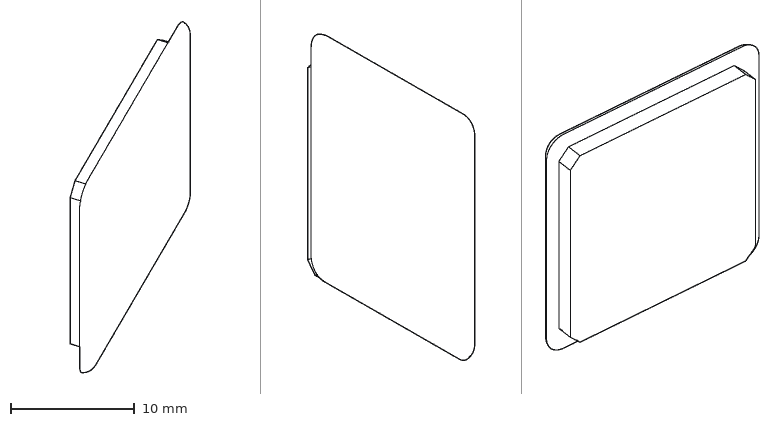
import cadquery as cq
import math

flange_side = 21.97
flange_thickness = 0.8
flange_corner_radius = 1.75
rim_radius = 1.0
back_margin = 0.22

block_side = 19.15
block_depth = 1.5
block_corner_chamfer = 1.0
block_offset_y = 0.15
block_offset_z = -0.13


def make_flange():
    """Plate from X = 0 to +X whose rim is an arc, tangent to the front and meeting the back at an angle."""
    hidden_depth = rim_radius - flange_thickness
    rim_width = math.sqrt(rim_radius**2 - hidden_depth**2)
    overhang = rim_radius - rim_width
    full_side = flange_side + 2 * overhang
    full_plate = (
        cq.Workplane("YZ", origin=(-hidden_depth - back_margin, 0, 0))
        .rect(full_side, full_side)
        .extrude(flange_thickness + hidden_depth + back_margin)
        .edges("|X")
        .fillet(flange_corner_radius + overhang)
        .faces(">X")
        .edges()
        .fillet(rim_radius)
    )
    front_space = cq.Workplane("YZ").rect(full_side, full_side).extrude(flange_thickness)
    return full_plate.intersect(front_space)


def make_block():
    """Pad reaching from the back of the flange toward -X."""
    return (
        cq.Workplane("YZ")
        .center(block_offset_y, block_offset_z)
        .rect(block_side, block_side)
        .extrude(-block_depth)
        .edges("|X")
        .chamfer(block_corner_chamfer)
    )


result = make_flange().union(make_block())